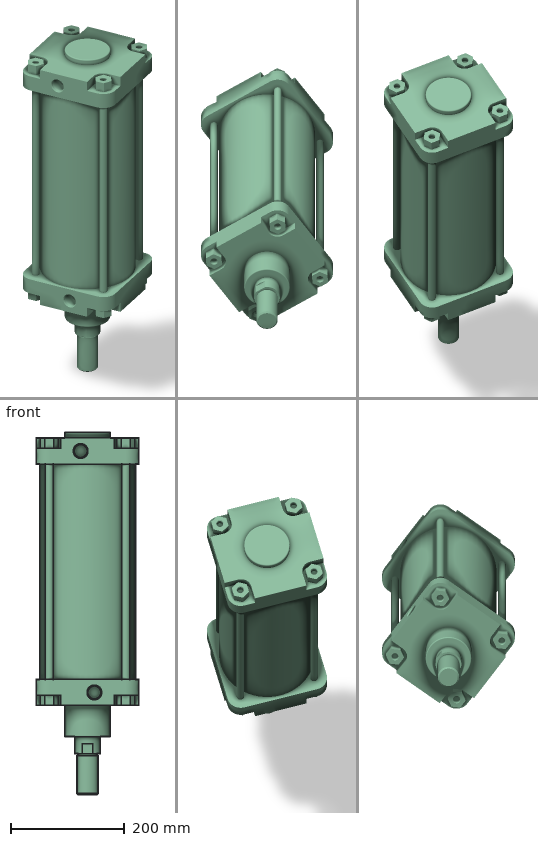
import cadquery as cq
import math

total_height = 637.0

cap_width = 180.0
cap_corner_radius = 23.5
cap_height = 46.0
boss_diameter = 80.0
boss_edge_radius = 2.0
front_cap_bottom = 157.0
rear_disc_height = 10.0
front_cap_top = front_cap_bottom + cap_height
rear_cap_top = total_height - rear_disc_height
rear_cap_bottom = rear_cap_top - cap_height

nut_recess_width = 43.0
nut_recess_depth = 18.0
nut_recess_radius = 18.5

port_diameter = 23.0
port_depth = 25.5
port_offset = 12.0
port_edge_chamfer = 1.0

barrel_diameter = 169.0

tie_rod_diameter = 13.5
tie_rod_pitch = 134.5
nut_across_flats = 27.5
nut_across_corners = nut_across_flats / math.cos(math.radians(30))
nut_height = nut_recess_depth
tie_rod_bore_diameter = 11.5
tie_rod_bore_depth = 9.5
tie_rod_bore_chamfer = 0.95

piston_rod_diameter = 45.0
flats_width = 41.5
flats_length = 18.0
piston_rod_end = 102.0
neck_bottom = 69.0
neck_height = 3.0
neck_diameter = 34.0
thread_diameter = 37.5
thread_end_chamfer = 2.5
piston_rod_shoulder = neck_bottom + neck_height


def cylinder(diameter, bottom, height):
    """Solid cylinder on the Z axis."""
    return cq.Workplane("XY").workplane(offset=bottom).circle(diameter / 2).extrude(height)


def tie_rod_places(z):
    """Workplane at height z with a point on each tie rod axis."""
    square = cq.Workplane("XY").workplane(offset=z).rect(tie_rod_pitch, tie_rod_pitch, forConstruction=True)
    return square.vertices()


def chamfered_hole(mouth, diameter, depth, chamfer):
    """Cutter for a blind hole with a chamfered rim, sunk below the workplane at its mouth."""
    radius = diameter / 2
    bore = mouth.circle(radius).extrude(-depth)
    rim = cq.Solid.makeCone(radius + chamfer, radius, chamfer, mouth.plane.origin, -mouth.plane.zDir)
    return bore.union(cq.Workplane(rim))


def build_cap(boss_height, port_x):
    """End cap with its barrel face at Z = 0 and its boss pointing up."""
    cap = (
        cq.Workplane("XY")
        .rect(cap_width, cap_width)
        .extrude(cap_height)
        .edges("|Z")
        .fillet(cap_corner_radius)
    )
    boss = cylinder(boss_diameter, cap_height, boss_height).faces(">Z").edges().fillet(boss_edge_radius)
    cap = cap.union(boss)

    recess_size = 2 * nut_recess_width
    recess_floor = cap_height - nut_recess_depth
    recesses = (
        cq.Workplane("XY")
        .workplane(offset=recess_floor)
        .rect(cap_width, cap_width, forConstruction=True)
        .vertices()
        .rect(recess_size, recess_size)
        .extrude(nut_recess_depth)
        .edges("|Z")
        .fillet(nut_recess_radius)
    )
    tie_rod_holes = tie_rod_places(0).circle(tie_rod_diameter / 2).extrude(cap_height)
    cap = cap.cut(recesses).cut(tie_rod_holes)

    port_axis = cq.Workplane("XZ", origin=(port_x, -cap_width / 2, cap_height / 2))
    return cap.cut(chamfered_hole(port_axis, port_diameter, port_depth, port_edge_chamfer))


def build_rear_cap():
    return build_cap(rear_disc_height, -port_offset).translate((0, 0, rear_cap_bottom))


def build_front_cap():
    """The same cap turned over about the Y axis, with a longer boss that reaches down to the piston rod."""
    cap = build_cap(front_cap_bottom - piston_rod_end, -port_offset)
    return cap.rotate((0, 0, 0), (0, 1, 0), 180).translate((0, 0, front_cap_top))


def build_barrel():
    return cylinder(barrel_diameter, front_cap_top, rear_cap_bottom - front_cap_top)


def build_tie_rod(x, y):
    """Tie rod with a hexagon nut and a blind bore at each end, both flush with the caps."""
    bottom = front_cap_bottom
    top = rear_cap_top
    rod = cylinder(tie_rod_diameter, bottom, top - bottom)
    for nut_bottom in (bottom, top - nut_height):
        nut = cq.Workplane("XY").workplane(offset=nut_bottom).polygon(6, nut_across_corners)
        rod = rod.union(nut.extrude(nut_height))
    for end, outward in ((bottom, -1), (top, 1)):
        mouth = cq.Workplane(cq.Plane(origin=(0, 0, end), normal=(0, 0, outward)))
        rod = rod.cut(chamfered_hole(mouth, tie_rod_bore_diameter, tie_rod_bore_depth, tie_rod_bore_chamfer))
    return rod.translate((x, y, 0))


def build_piston_rod():
    """Rod that meets the front boss, with two wrench flats, a neck and a threaded end below it."""
    shank = cylinder(piston_rod_diameter, piston_rod_shoulder, piston_rod_end - piston_rod_shoulder)
    for side in (-1, 1):
        flat = (
            cq.Workplane("XY", origin=(0, side * flats_width, piston_rod_shoulder))
            .rect(piston_rod_diameter, flats_width)
            .extrude(flats_length)
        )
        shank = shank.cut(flat)
    thread = cylinder(thread_diameter, 0, neck_bottom).faces("<Z").chamfer(thread_end_chamfer)
    neck = cylinder(neck_diameter, neck_bottom, neck_height)
    return shank.union(neck).union(thread)


rear_cap = build_rear_cap()
front_cap = build_front_cap()
barrel = build_barrel()
piston_rod = build_piston_rod()
half_pitch = tie_rod_pitch / 2
tie_rods = [
    build_tie_rod(x, y)
    for x in (-half_pitch, half_pitch)
    for y in (-half_pitch, half_pitch)
]

result = cq.Compound.makeCompound([
    rear_cap.val(),
    front_cap.val(),
    barrel.val(),
    piston_rod.val(),
    *[tie_rod.val() for tie_rod in tie_rods],
])